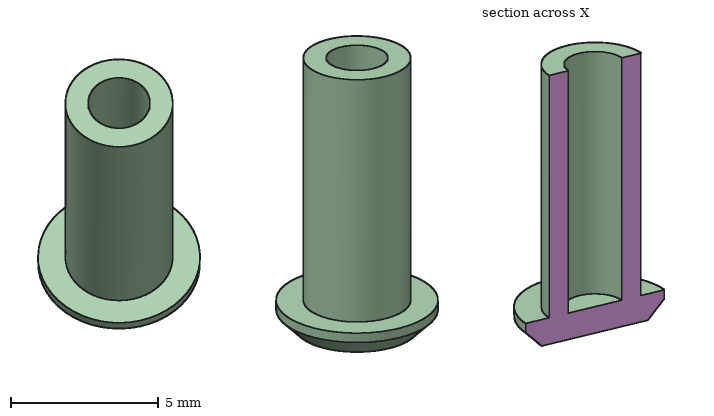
import cadquery as cq

total_height = 10.0

head_diameter = 5.5
head_height = 1.0
head_chamfer = 0.65

shank_diameter = 3.65
shank_length = total_height - head_height
bore_diameter = 2.1
bore_depth = shank_length


def make_head():
    """Flat disc standing on Z = 0, chamfered around its lower edge."""
    disc = cq.Workplane("XY").circle(head_diameter / 2).extrude(head_height)
    return disc.faces("<Z").chamfer(head_chamfer)


def make_shank():
    """Cylinder rising from the top of the head."""
    return (
        cq.Workplane("XY")
        .workplane(offset=head_height)
        .circle(shank_diameter / 2)
        .extrude(shank_length)
    )


def make_bore():
    """Flat-bottomed bore cutter, sunk from the free end of the shank."""
    return (
        cq.Workplane("XY")
        .workplane(offset=total_height)
        .circle(bore_diameter / 2)
        .extrude(-bore_depth)
    )


result = make_head().union(make_shank()).cut(make_bore())